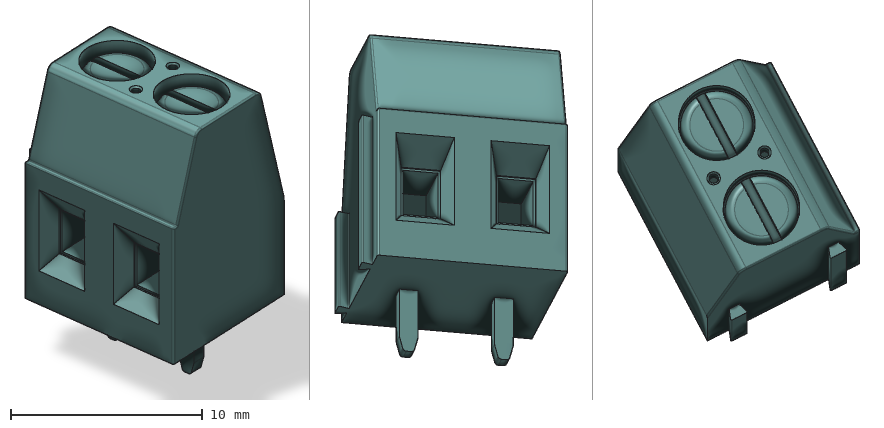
import cadquery as cq
import math


pitch = 5.08
pole_count = 2
housing_width = pole_count * pitch
housing_depth = 9.0
housing_height = 13.5
ledge_height = 8.4
ledge_depth = 0.29
back_wall_height = 6.19
top_width = 5.17
shoulder_radius = 0.51
edge_radius = 0.1
fine_radius = 0.05

rail_projection = 0.6
rail_outer_width = 1.0
rail_root_width = 0.6
rail_offset = 2.92
rear_rail_height = 5.4

mouth_width = 3.11
mouth_height = 5.0
mouth_bottom = 2.07
throat_width = 2.1
throat_height = 2.75
throat_bottom = 2.84
funnel_depth = 1.05
throat_depth = 0.1
chamber_rim = 0.12
chamber_depth = 3.0

screw_well_diameter = 4.0
screw_head_diameter = 3.8
screw_flat_diameter = 2.8
screw_recess = 0.5
slot_width = 0.5
slot_depth = 0.4

test_hole_diameter = 0.5
test_hole_depth = 1.0
test_hole_chamfer = 0.1
test_hole_offset = 1.5

pin_width = 1.0
pin_thickness = 0.8
pin_length = 3.5
pin_taper_length = 0.82
pin_tip_width = 0.56
pin_tip_radius = 0.2
pin_root = 0.17

half_width = housing_width / 2
half_depth = housing_depth / 2
pole_positions = [(i - (pole_count - 1) / 2) * pitch for i in range(pole_count)]


def make_housing():
    """Prism with sloped shoulders, a front ledge and rounded edges."""
    body = (
        cq.Workplane("YZ")
        .moveTo(-half_depth, 0)
        .lineTo(half_depth, 0)
        .lineTo(half_depth, back_wall_height)
        .lineTo(top_width / 2, housing_height)
        .lineTo(-top_width / 2, housing_height)
        .lineTo(-half_depth + ledge_depth, ledge_height)
        .lineTo(-half_depth, ledge_height)
        .close()
        .extrude(half_width, both=True)
    )
    body = body.faces(">Z").edges("|X").fillet(shoulder_radius)
    ledge_zone = cq.selectors.BoxSelector(
        (-half_width, -half_depth - edge_radius, ledge_height - edge_radius),
        (half_width, -half_depth + ledge_depth + edge_radius, ledge_height + edge_radius),
    )
    body = body.edges(ledge_zone).edges("|X").fillet(fine_radius)
    return body.faces("<X or >X").edges("not (<Z or >Y)").fillet(edge_radius)


def add_rail(body, y, height):
    """Dovetail rail with eased upright edges, wider at its outer face than at the housing."""
    outer_x = -half_width - rail_projection
    rail = (
        cq.Workplane("XY")
        .moveTo(-half_width, y - rail_root_width / 2)
        .lineTo(outer_x, y - rail_outer_width / 2)
        .lineTo(outer_x, y + rail_outer_width / 2)
        .lineTo(-half_width, y + rail_root_width / 2)
        .close()
        .extrude(height)
    )
    rail_zone = cq.selectors.BoxSelector(
        (outer_x - fine_radius, y - rail_outer_width / 2 - fine_radius, 0),
        (-half_width + fine_radius, y + rail_outer_width / 2 + fine_radius, height),
    )
    return body.union(rail).edges(rail_zone).edges("|Z").fillet(fine_radius)


def make_wire_entry(x):
    """Tapered funnel in the front face leading through a short throat to a narrower wire chamber."""
    throat_center = throat_bottom + throat_height / 2
    mouth_center = mouth_bottom + mouth_height / 2
    funnel = (
        cq.Workplane("XZ", origin=(x, -half_depth, mouth_center))
        .rect(mouth_width, mouth_height)
        .workplane(offset=-funnel_depth)
        .center(0, throat_center - mouth_center)
        .rect(throat_width, throat_height)
        .loft(ruled=True)
    )
    throat = (
        cq.Workplane("XZ", origin=(x, -half_depth + funnel_depth, throat_center))
        .rect(throat_width, throat_height)
        .extrude(-throat_depth)
    )
    chamber = (
        cq.Workplane("XZ", origin=(x, -half_depth + funnel_depth + throat_depth, throat_center))
        .rect(throat_width - 2 * chamber_rim, throat_height - 2 * chamber_rim)
        .extrude(-chamber_depth)
    )
    return funnel.union(throat).union(chamber)


def make_screw_well(x):
    """Round well in the top, less the slotted screw head standing in it."""
    head_edge_radius = (screw_head_diameter - screw_flat_diameter) / 2
    well_depth = screw_recess + head_edge_radius
    arc_middle = head_edge_radius * math.sqrt(0.5)
    flat_radius = screw_flat_diameter / 2
    well = (
        cq.Workplane("XY", origin=(x, 0, housing_height))
        .circle(screw_well_diameter / 2)
        .extrude(-well_depth)
    )
    head = (
        cq.Workplane("XZ", origin=(x, 0, housing_height - well_depth))
        .lineTo(screw_head_diameter / 2, 0)
        .threePointArc((flat_radius + arc_middle, arc_middle), (flat_radius, head_edge_radius))
        .lineTo(0, head_edge_radius)
        .close()
        .revolve(360, (0, 0, 0), (0, 1, 0))
    )
    slot = (
        cq.Workplane("XY", origin=(x, 0, housing_height - screw_recess))
        .rect(screw_head_diameter, slot_width)
        .extrude(-slot_depth)
    )
    return well.cut(head.cut(slot))


def make_test_hole(y):
    """Small blind hole with a chamfered rim."""
    hole_radius = test_hole_diameter / 2
    return (
        cq.Workplane("XZ", origin=(0, y, housing_height))
        .lineTo(hole_radius + test_hole_chamfer, 0)
        .lineTo(hole_radius, -test_hole_chamfer)
        .lineTo(hole_radius, -test_hole_depth)
        .lineTo(0, -test_hole_depth)
        .close()
        .revolve(360, (0, 0, 0), (0, 1, 0))
    )


def make_pin(x):
    """Flat solder pin with a tapered, rounded tip, rooted in the housing."""
    half_pin = pin_width / 2
    half_tip = pin_tip_width / 2
    taper_start = -pin_length + pin_taper_length
    pin = (
        cq.Workplane("XZ", origin=(x, 0, 0))
        .moveTo(-half_pin, pin_root)
        .lineTo(-half_pin, taper_start)
        .lineTo(-half_tip, -pin_length)
        .lineTo(half_tip, -pin_length)
        .lineTo(half_pin, taper_start)
        .lineTo(half_pin, pin_root)
        .close()
        .extrude(pin_thickness / 2, both=True)
    )
    return pin.faces("<Z").edges("|Y").fillet(pin_tip_radius)


result = make_housing()
result = add_rail(result, -rail_offset, ledge_height)
result = add_rail(result, rail_offset, rear_rail_height)

for x in pole_positions:
    result = result.cut(make_wire_entry(x))
    result = result.cut(make_screw_well(x))
    result = result.union(make_pin(x))

for y in (-test_hole_offset, test_hole_offset):
    result = result.cut(make_test_hole(y))